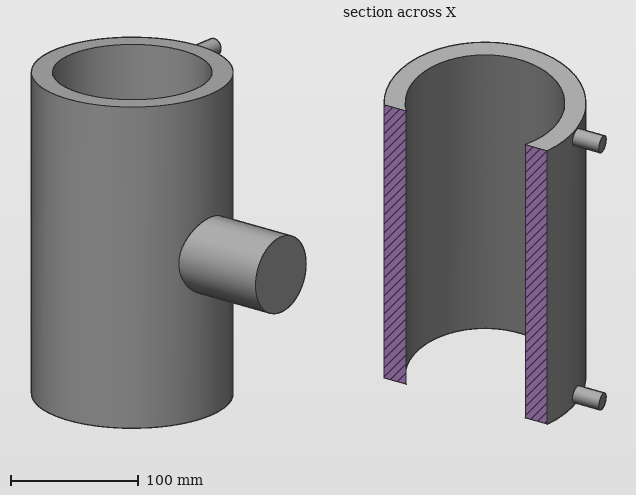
import cadquery as cq

tube_height = 268.0
tube_diameter = 158.0
bore_diameter = 125.0
tube_radius = tube_diameter / 2
wall_middle_radius = (tube_diameter + bore_diameter) / 4

branch_diameter = 63.0
branch_reach = 149.8

pin_diameter = 14.0
pin_reach = 101.5
pin_end_distance = 8.0
pin_height = tube_height / 2 - pin_end_distance


def make_pin(height):
    """Round pin rooted in the middle of the tube wall."""
    pin_length = pin_reach - wall_middle_radius
    pin = cq.Workplane("XY").circle(pin_diameter / 2).extrude(pin_length)
    pin = pin.rotate((0, 0, 0), (1, 0, 0), -90)
    return pin.translate((0, wall_middle_radius, height))


body = cq.Workplane("XY").circle(tube_radius).extrude(tube_height / 2, both=True)
branch = cq.Workplane("YZ").circle(branch_diameter / 2).extrude(branch_reach)
bore = cq.Workplane("XY").circle(bore_diameter / 2).extrude(tube_height / 2, both=True)
body = body.union(branch).cut(bore)

for height in (-pin_height, pin_height):
    body = body.union(make_pin(height))

result = body